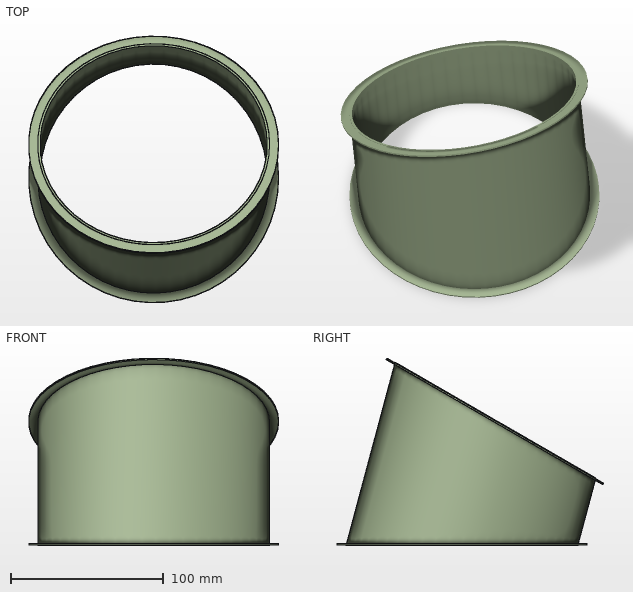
import cadquery as cq

pivot_distance = 163.9
end_angle = 30.0
tube_outer_radius = 75.8
wall_thickness = 1.5
flange_radius = 81.8
flange_thickness = 1.0
rim_height = 0.3

tube_inner_radius = tube_outer_radius - wall_thickness
pivot_start = cq.Vector(0, pivot_distance, 0)
pivot_end = cq.Vector(-1.7, pivot_distance, 0)


def oblique_cylinder(radius):
    """Straight-sided solid joining equal circles in the lower and tilted upper end planes."""
    lower_circle = cq.Wire.makeCircle(radius, cq.Vector(0, 0, 0), cq.Vector(0, 0, 1))
    upper_circle = lower_circle.rotate(pivot_start, pivot_end, end_angle)
    return cq.Workplane(obj=cq.Solid.makeLoft([lower_circle, upper_circle], True))


def flange_disc(bottom):
    """Flat disc parallel to the lower end plane, with its lower face at height bottom."""
    return cq.Workplane("XY").workplane(offset=bottom).circle(flange_radius).extrude(flange_thickness)


lower_flange = flange_disc(rim_height)

upper_flange = flange_disc(-rim_height - flange_thickness).rotate(pivot_start, pivot_end, end_angle)

body = oblique_cylinder(tube_outer_radius).union(lower_flange).union(upper_flange)
result = body.cut(oblique_cylinder(tube_inner_radius))